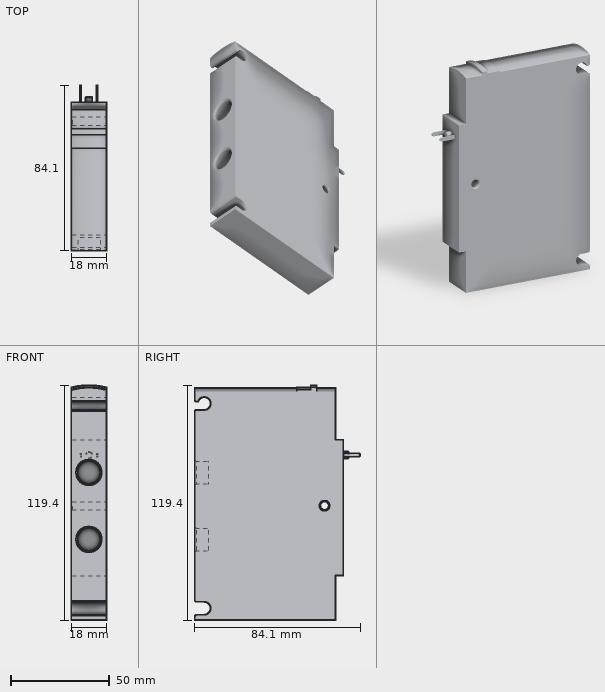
import cadquery as cq

WIDTH = 18.0
HALF_WIDTH = WIDTH / 2
OVERALL_DEPTH = 84.1
OVERALL_HEIGHT = 119.4
BODY_DEPTH = 71.6

CROWN_RISE = 1.2
CAP_TOP = 118.0
STEP_TOP = 118.3
RIDGE_FRONT = 59.0
RIDGE_BACK = 62.0
STEP_FRONT = 52.0
CAP_EDGE_RADIUS = 0.4

BLOCK_BACK = 75.55
BLOCK_BOTTOM = 22.6
BLOCK_TOP = 91.7

PORT_DIAMETER = 11.45
PORT_MOUTH_DIAMETER = 13.1
PORT_DEPTH = 7.0
PORT_HEIGHTS = (41.0, 75.0)

SLOT_RADIUS = 3.2
SLOT_CENTER_Y = 4.9
LOWER_SLOT_Z = 6.0
UPPER_SLOT_Z = 110.0
UPPER_LIP_Z = 110.8
MOUTH_CHAMFER = 0.7

CROSS_HOLE_DIAMETER = 4.2
CROSS_HOLE_MOUTH_DIAMETER = 5.2
CROSS_HOLE_Y = 66.0
CROSS_HOLE_Z = 58.1

CONTACT_Z = 83.85
PIN_SPACING = 8.4
PIN_THICKNESS = 0.75
PIN_HEIGHT = 2.0
PIN_TIP_LENGTH = 0.7
PIN_TIP_INSET = 0.5
STUD_DIAMETER = 3.6
STUD_LENGTH = 2.7
STUD_CHAMFER = 0.4


def crowned_prism(front, back, crown_z):
    """Full-width prism between two Y positions, from Z = 0 up to an arched top."""
    edge_z = crown_z - CROWN_RISE
    return (
        cq.Workplane("XZ", origin=(0, front, 0))
        .moveTo(-HALF_WIDTH, 0)
        .lineTo(HALF_WIDTH, 0)
        .lineTo(HALF_WIDTH, edge_z)
        .threePointArc((0, crown_z), (-HALF_WIDTH, edge_z))
        .close()
        .extrude(front - back)
    )


def main_body():
    """Full-height body with both long edges of its arched top rounded."""
    body = crowned_prism(0, BODY_DEPTH, CAP_TOP)
    return body.edges("|Y and (not <Z)").fillet(CAP_EDGE_RADIUS)


def rear_block():
    """Block carrying the contacts, overlapping the body and standing out behind it."""
    height = BLOCK_TOP - BLOCK_BOTTOM
    block = cq.Workplane("XY", origin=(0, 0, BLOCK_BOTTOM))
    return block.box(WIDTH, BLOCK_BACK, height, centered=(True, False, False))


def port(z):
    """Blind round port with a countersunk mouth."""
    plane = cq.Workplane("XZ", origin=(0, 0, z))
    bore = plane.circle(PORT_DIAMETER / 2).extrude(-PORT_DEPTH)
    lead = (PORT_MOUTH_DIAMETER - PORT_DIAMETER) / 2
    mouth = plane.circle(PORT_MOUTH_DIAMETER / 2).extrude(-lead, taper=45)
    return bore.union(mouth)


def slot(center_z, lip_z):
    """Round slot opening to the front between its lower tangent and lip_z, with chamfered lips."""
    sill_z = center_z - SLOT_RADIUS
    side = cq.Workplane("YZ", origin=(-HALF_WIDTH, 0, 0))
    pocket = side.center(SLOT_CENTER_Y, center_z).circle(SLOT_RADIUS).extrude(WIDTH)
    mouth = (
        side.moveTo(0, sill_z - MOUTH_CHAMFER)
        .lineTo(MOUTH_CHAMFER, sill_z)
        .lineTo(SLOT_CENTER_Y, sill_z)
        .lineTo(SLOT_CENTER_Y, lip_z)
        .lineTo(MOUTH_CHAMFER, lip_z)
        .lineTo(0, lip_z + MOUTH_CHAMFER)
        .close()
        .extrude(WIDTH)
    )
    return pocket.union(mouth)


def cross_hole():
    """Through hole along X, countersunk at both sides."""
    lead = (CROSS_HOLE_MOUTH_DIAMETER - CROSS_HOLE_DIAMETER) / 2
    near = cq.Workplane("YZ", origin=(-HALF_WIDTH, CROSS_HOLE_Y, CROSS_HOLE_Z))
    far = cq.Workplane("YZ", origin=(HALF_WIDTH, CROSS_HOLE_Y, CROSS_HOLE_Z))
    bore = near.circle(CROSS_HOLE_DIAMETER / 2).extrude(WIDTH)
    near_mouth = near.circle(CROSS_HOLE_MOUTH_DIAMETER / 2).extrude(lead, taper=45)
    far_mouth = far.circle(CROSS_HOLE_MOUTH_DIAMETER / 2).extrude(-lead, taper=45)
    return bore.union(near_mouth).union(far_mouth)


def contact_pin(x):
    """Flat blade whose height narrows at the tip."""
    shoulder_y = OVERALL_DEPTH - PIN_TIP_LENGTH
    half_height = PIN_HEIGHT / 2
    half_tip = half_height - PIN_TIP_INSET
    return (
        cq.Workplane("YZ", origin=(x - PIN_THICKNESS / 2, 0, CONTACT_Z))
        .moveTo(BLOCK_BACK, -half_height)
        .lineTo(shoulder_y, -half_height)
        .lineTo(OVERALL_DEPTH, -half_tip)
        .lineTo(OVERALL_DEPTH, half_tip)
        .lineTo(shoulder_y, half_height)
        .lineTo(BLOCK_BACK, half_height)
        .close()
        .extrude(PIN_THICKNESS)
    )


def stud():
    """Short round stud with a chamfered end."""
    return (
        cq.Workplane("XZ", origin=(0, BLOCK_BACK, CONTACT_Z))
        .circle(STUD_DIAMETER / 2)
        .extrude(-STUD_LENGTH)
        .faces(">Y")
        .chamfer(STUD_CHAMFER)
    )


result = main_body().union(rear_block())
result = result.union(crowned_prism(STEP_FRONT, RIDGE_FRONT, STEP_TOP))
result = result.union(crowned_prism(RIDGE_FRONT, RIDGE_BACK, OVERALL_HEIGHT))

for port_z in PORT_HEIGHTS:
    result = result.cut(port(port_z))
result = result.cut(slot(LOWER_SLOT_Z, LOWER_SLOT_Z + SLOT_RADIUS))
result = result.cut(slot(UPPER_SLOT_Z, UPPER_LIP_Z))
result = result.cut(cross_hole())

for pin_x in (-PIN_SPACING / 2, PIN_SPACING / 2):
    result = result.union(contact_pin(pin_x))
result = result.union(stud())